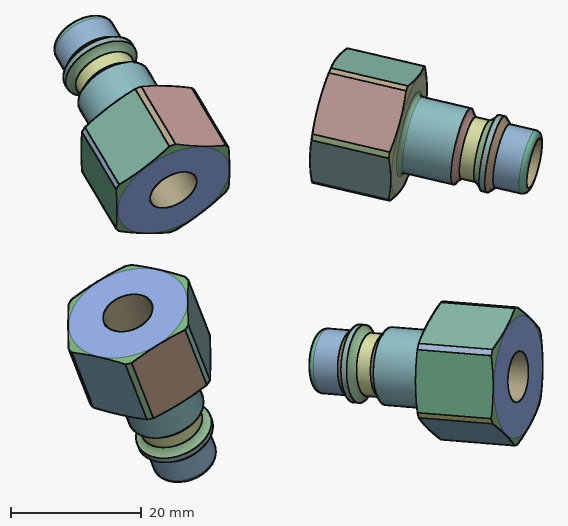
import cadquery as cq
import math

total_length = 33.0
hex_length = 13.0
hex_across_flats = 19.0
hex_corner_diameter = 21.4
hex_face_diameter = 18.8
hex_chamfer_angle = 15.0

bore_diameter = 7.85
nose_diameter = 10.0
collar_diameter = 12.0
neck_diameter = 9.75

nose_rounding = 1.0
nose_end = 5.08
collar_width = 0.92
neck_start = 8.2
neck_end = 10.5
neck_flank_radius = 2.97
body_start = 11.5
body_fillet = 0.73

hex_start = total_length - hex_length
bore_radius = bore_diameter / 2
nose_radius = nose_diameter / 2
collar_radius = collar_diameter / 2
neck_radius = neck_diameter / 2
collar_start = nose_end + collar_radius - nose_radius
collar_end = collar_start + collar_width


def make_plug():
    """Revolved nose, collar, neck and body, ending at the hexagon."""
    profile = (
        cq.Workplane("XY")
        .moveTo(0, 0)
        .lineTo(0, nose_radius - nose_rounding)
        .radiusArc((nose_rounding, nose_radius), nose_rounding)
        .lineTo(nose_end, nose_radius)
        .lineTo(collar_start, collar_radius)
        .lineTo(collar_end, collar_radius)
        .radiusArc((neck_start, neck_radius), -neck_flank_radius)
        .lineTo(neck_end, neck_radius)
        .radiusArc((body_start, collar_radius), -neck_flank_radius)
        .lineTo(hex_start - body_fillet, collar_radius)
        .radiusArc((hex_start, collar_radius + body_fillet), -body_fillet)
        .lineTo(hex_start, 0)
        .close()
    )
    return profile.revolve(360, (0, 0, 0), (1, 0, 0))


def make_hexagon():
    """Hexagon with corners along Z, trimmed by a cylinder chamfered at both ends."""
    point_diameter = hex_across_flats / math.cos(math.pi / 6)
    prism = (
        cq.Workplane("YZ", origin=(hex_start, 0, 0))
        .transformed(rotate=(0, 0, 90))
        .polygon(6, point_diameter)
        .extrude(hex_length)
    )
    face_radius = hex_face_diameter / 2
    corner_radius = hex_corner_diameter / 2
    chamfer_length = (corner_radius - face_radius) * math.tan(math.radians(hex_chamfer_angle))
    envelope = (
        cq.Workplane("XY")
        .moveTo(hex_start, 0)
        .lineTo(hex_start, face_radius)
        .lineTo(hex_start + chamfer_length, corner_radius)
        .lineTo(total_length - chamfer_length, corner_radius)
        .lineTo(total_length, face_radius)
        .lineTo(total_length, 0)
        .close()
        .revolve(360, (0, 0, 0), (1, 0, 0))
    )
    return prism.intersect(envelope)


bore = cq.Workplane("YZ").circle(bore_radius).extrude(total_length)
result = make_plug().union(make_hexagon()).cut(bore)